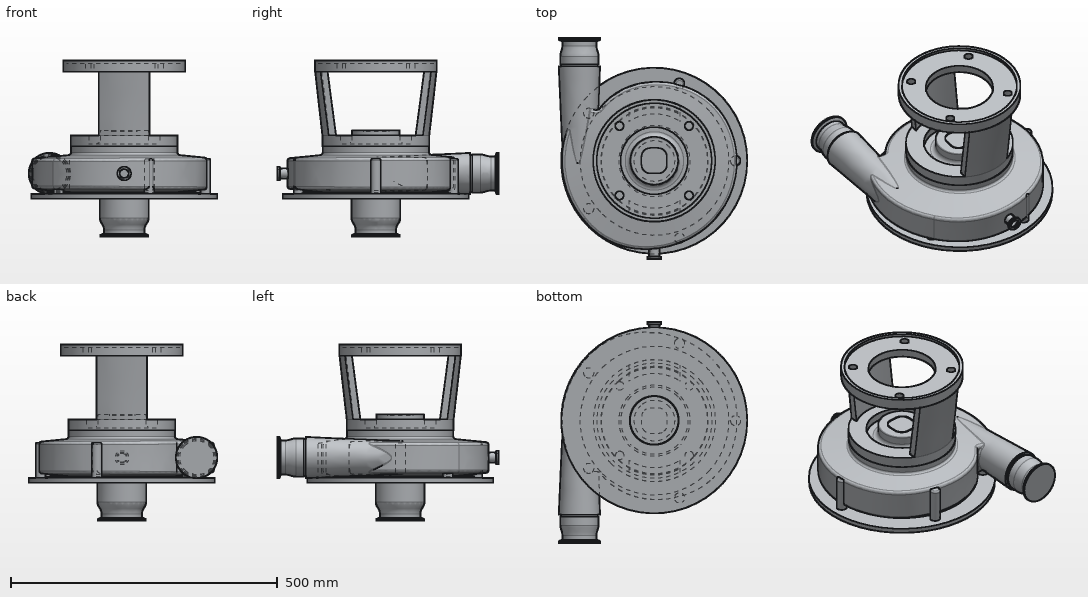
import cadquery as cq
import math

base_radius = 174.7
base_height = 9.5
plinth_radius = 139.5
plinth_top = 12.5

casing_mid = 47.7
casing_half_axis = 45.2
casing_slope = 0.1
casing_rim_fillet = 6.0
casing_radius = 173.0
scroll_start = 219.5
scroll_stations = [(270, 165.0), (315, 158.0), (360, 155.2), (405, 154.0), (450, 148.0), (497, 141.5)]
throat_angle = 155.0
cutwater_bottom = (-108.7, 95.0)
cutwater_tip = (-122.0, 106.0)

lug_count = 5
lug_circle_radius = 152.5
lug_radius = 9.5
lug_top = 75.5
lug_fillet = 3.5

neck_radius = 100.0
neck_top = 98.8
neck_fillet = 5.0
lantern_radius = 100.5
lantern_ring_top = 119.5
lantern_bore_radius = 67.0
lantern_bore_floor = 103.8
arm_half_width = 47.7
arm_thickness = 12.0
arm_top_radius = 114.0
flange_radius = 114.5
flange_bottom = 238.5
flange_top = 259.8
flange_recess_radius = 108.0
flange_recess_depth = 5.5
flange_bore_radius = 63.0
bolt_offset = 65.0
bolt_hole_radius = 8.0

hub_radius = 45.0
hub_top = 129.0
hub_base_fillet = 10.0
hub_top_fillet = 1.2
hub_recess_side = 47.7
hub_recess_corner = 16.5
hub_recess_depth = 1.5

inlet_end = -70.5
inlet_radius = 46.0
inlet_tube_radius = 38.0
inlet_rim_radius = 45.2
inlet_pipe_length = 35.3
inlet_reducer_length = 22.0
inlet_tube_length = 7.5
inlet_rim_taper = 3.0

outlet_x = -140.3
outlet_end = 230.5
nozzle_mouth_y = 176.8
nozzle_mouth_radius = 39.0
nozzle_tip_y = -12.5
nozzle_tip_radius = 30.7
nozzle_root_fillet = 3.0
outlet_groove_radius = 35.0
outlet_groove_width = 3.7
outlet_radius = 36.0
outlet_tube_radius = 32.15
outlet_rim_radius = 38.8
outlet_pipe_length = 15.8
outlet_reducer_length = 19.0
outlet_tube_length = 8.5
outlet_rim_taper = 3.0

drain_end = -184.5
drain_length = 33.0
drain_radius = 10.0
drain_flange_radius = 13.0
drain_flange_edge = 4.0
drain_flange_taper = 1.5
drain_bore_radius = 8.5
drain_bore_depth = 20.8

overlap = 4.0


def cylinder(radius, bottom, top):
    return cq.Workplane("XY").workplane(offset=bottom).circle(radius).extrude(top - bottom)


def polar(radius, degrees):
    angle = math.radians(degrees)
    return (radius * math.cos(angle), radius * math.sin(angle))


def revolve_about_z(profile):
    return profile.close().revolve(360, (0, 0, 0), (0, 1, 0))


def ferrule(root, end, pipe, tube, rim, pipe_length, reducer, straight, taper):
    """Clamp ferrule along +Z: pipe, smooth reducer, straight tube and tapered rim."""
    pipe_end = root + pipe_length
    tube_start = pipe_end + reducer
    tube_end = tube_start + straight
    profile = (
        cq.Workplane("XZ")
        .moveTo(0, root)
        .lineTo(pipe, root)
        .lineTo(pipe, pipe_end)
        .spline([(tube, tube_start)], tangents=[(0, 1), (0, 1)], includeCurrent=True)
        .lineTo(tube, tube_end)
        .lineTo(rim, tube_end + taper)
        .lineTo(rim, end)
        .lineTo(0, end)
    )
    return revolve_about_z(profile)


def make_casing():
    start = polar(casing_radius, scroll_start)
    scroll = [polar(radius, angle) for angle, radius in scroll_stations]
    plan = (
        cq.Workplane("XY")
        .moveTo(*polar(casing_radius, throat_angle))
        .threePointArc(polar(casing_radius, (throat_angle + scroll_start) / 2), start)
        .spline(scroll, includeCurrent=True)
        .threePointArc(cutwater_bottom, cutwater_tip)
        .close()
        .extrude(2 * casing_mid)
    )
    reach = casing_radius + 5 * overlap
    half_rim = casing_half_axis - casing_slope * reach
    envelope = revolve_about_z(
        cq.Workplane("XZ").polyline([
            (0, casing_mid - casing_half_axis),
            (reach, casing_mid - half_rim),
            (reach, casing_mid + half_rim),
            (0, casing_mid + casing_half_axis),
        ])
    )
    casing = plan.intersect(envelope)
    return casing.edges("not |Z").fillet(casing_rim_fillet)


def make_nozzle():
    return (
        cq.Workplane("XZ", origin=(outlet_x, nozzle_tip_y, casing_mid))
        .circle(nozzle_tip_radius)
        .workplane(offset=nozzle_tip_y - nozzle_mouth_y)
        .circle(nozzle_mouth_radius)
        .loft()
    )


def make_scroll_with_nozzle():
    """Casing and nozzle joined, with the seam around the nozzle root blended."""
    joined = make_casing().union(make_nozzle())
    left_of_casing = (outlet_x - nozzle_mouth_radius, 0, 0)
    past_cutwater = (cutwater_bottom[0], cutwater_tip[1], 2 * casing_mid)
    seam = cq.selectors.BoxSelector(left_of_casing, past_cutwater)
    return joined.edges(seam).fillet(nozzle_root_fillet)


def make_outlet():
    groove_end = nozzle_mouth_y + outlet_groove_width
    groove = cylinder(outlet_groove_radius, nozzle_mouth_y - overlap, groove_end)
    end = ferrule(
        groove_end, outlet_end, outlet_radius, outlet_tube_radius, outlet_rim_radius,
        outlet_pipe_length, outlet_reducer_length, outlet_tube_length, outlet_rim_taper,
    )
    outlet = groove.union(end).rotate((0, 0, 0), (1, 0, 0), -90)
    return outlet.translate((outlet_x, 0, casing_mid))


def make_inlet():
    end = ferrule(
        0, -inlet_end, inlet_radius, inlet_tube_radius, inlet_rim_radius,
        inlet_pipe_length, inlet_reducer_length, inlet_tube_length, inlet_rim_taper,
    )
    return end.rotate((0, 0, 0), (1, 0, 0), 180)


def make_drain():
    port = revolve_about_z(
        cq.Workplane("XZ").polyline([
            (0, 0),
            (drain_flange_radius, 0),
            (drain_flange_radius, drain_flange_edge),
            (drain_radius, drain_flange_edge + drain_flange_taper),
            (drain_radius, drain_length),
            (0, drain_length),
        ])
    )
    return port.rotate((0, 0, 0), (1, 0, 0), -90).translate((0, drain_end, casing_mid))


def make_drain_bore():
    face = cq.Workplane("XZ", origin=(0, drain_end, casing_mid))
    return face.circle(drain_bore_radius).extrude(-drain_bore_depth)


def make_lugs():
    lugs = cq.Workplane("XY")
    for i in range(lug_count):
        x, y = polar(lug_circle_radius, 360 / lug_count * i)
        lug = cylinder(lug_radius, 0, lug_top).faces(">Z").edges().fillet(lug_fillet)
        lugs = lugs.union(lug.translate((x, y, 0)))
    return lugs


def make_neck():
    foot_radius = neck_radius + neck_fillet
    foot = casing_mid + casing_half_axis - casing_slope * foot_radius
    bend = neck_fillet * (1 - math.sqrt(0.5))
    profile = (
        cq.Workplane("XZ")
        .moveTo(0, casing_mid)
        .lineTo(foot_radius, casing_mid)
        .lineTo(foot_radius, foot)
        .threePointArc((neck_radius + bend, foot + bend), (neck_radius, foot + neck_fillet))
        .lineTo(neck_radius, neck_top)
        .lineTo(0, neck_top)
    )
    return revolve_about_z(profile)


def make_lantern_ring():
    ring = cylinder(lantern_radius, neck_top, lantern_ring_top)
    return ring.cut(cylinder(lantern_bore_radius, lantern_bore_floor, lantern_ring_top))


def make_arms():
    """Two opposite strips of a conical shell, on the -Y and +Y sides."""
    shell = revolve_about_z(
        cq.Workplane("XZ").polyline([
            (lantern_radius, lantern_ring_top),
            (arm_top_radius, flange_bottom),
            (arm_top_radius - arm_thickness, flange_bottom),
            (lantern_radius - arm_thickness, lantern_ring_top),
        ])
    )
    band = cq.Workplane("XY").box(2 * arm_half_width, 3 * arm_top_radius, 2 * flange_top)
    return shell.intersect(band)


def make_flange():
    flange = cylinder(flange_radius, flange_bottom, flange_top)
    flange = flange.cut(cylinder(flange_recess_radius, flange_top - flange_recess_depth, flange_top))
    flange = flange.cut(cylinder(flange_bore_radius, flange_bottom, flange_top))
    for side_x in (-1, 1):
        for side_y in (-1, 1):
            hole = cylinder(bolt_hole_radius, flange_bottom, flange_top)
            flange = flange.cut(hole.translate((side_x * bolt_offset, side_y * bolt_offset, 0)))
    return flange


def make_hub():
    foot_radius = hub_radius + hub_base_fillet
    bend = hub_base_fillet * (1 - math.sqrt(0.5))
    profile = (
        cq.Workplane("XZ")
        .moveTo(0, lantern_bore_floor - overlap)
        .lineTo(foot_radius, lantern_bore_floor - overlap)
        .lineTo(foot_radius, lantern_bore_floor)
        .threePointArc(
            (hub_radius + bend, lantern_bore_floor + bend),
            (hub_radius, lantern_bore_floor + hub_base_fillet),
        )
        .lineTo(hub_radius, hub_top)
        .lineTo(0, hub_top)
    )
    hub = revolve_about_z(profile).faces(">Z").edges().fillet(hub_top_fillet)
    recess = (
        cq.Workplane("XY")
        .workplane(offset=hub_top - hub_recess_depth)
        .rect(hub_recess_side, hub_recess_side)
        .extrude(hub_recess_depth)
        .edges("|Z")
        .fillet(hub_recess_corner)
    )
    return hub.cut(recess)


result = make_scroll_with_nozzle()
for feature in (
    cylinder(base_radius, 0, base_height),
    cylinder(plinth_radius, 0, plinth_top),
    make_lugs(),
    make_neck(),
    make_lantern_ring(),
    make_hub(),
    make_arms(),
    make_flange(),
    make_outlet(),
    make_inlet(),
    make_drain(),
):
    result = result.union(feature)
result = result.cut(make_drain_bore())